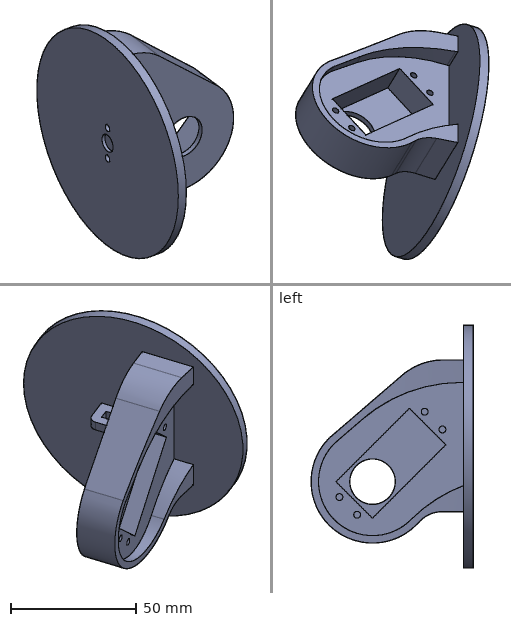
import cadquery as cq
import math

disc_diameter = 97.0
disc_thickness = 4.0
center_recess_diameter = 7.6
center_recess_depth = 1.5
mount_hole_diameter = 3.0
mount_hole_offset = 7.2

arm_back_x = -4.0
pivot_y = 40.3
pivot_z = -14.0
tip_y = 64.8
head_radius = tip_y - pivot_y
head_start_angle = 45.0
head_end_angle = 225.0
head_middle_angle = (head_start_angle + 360 + head_end_angle) / 2
arm_top_z = 34.6
arm_bottom_z = -26.0
top_corner_y = 21.3
top_fillet = 25.0
bottom_fillet = 12.0

face_base_x = -26.6
face_middle_x = -22.7
face_tip_x = -20.9

past_face_length = 2 * abs(face_base_x)

rim_width = 3.0
recess_floor_x = -18.0
recess_top_z = 25.6
recess_bend_radius = 60.1

servo_length = 41.4
servo_width = 20.6
servo_offset = 10.4
servo_angle = 135.0
servo_floor_x = -6.2
shaft_hole_diameter = 18.0
screw_pitch_long = 48.1
screw_pitch_wide = 10.0
screw_diameter = 2.7
screw_depth = 8.0

lug_center_x = 6.0
lug_width = 16.0
lug_top_y = 16.0
lug_thickness = 4.0
lug_corner_radius = 3.0
slot_width = 8.1
slot_height = 4.0
slot_bottom_y = 8.05

diagonal = math.sqrt(0.5)


def pivot_point(radius, angle_deg):
    """Point (Y, Z) at a radius and angle around the pivot."""
    angle = math.radians(angle_deg)
    return pivot_y + radius * math.cos(angle), pivot_z + radius * math.sin(angle)


def tangent_bend(corner, start, radius):
    """Ends and middle of an arc joining a line from start to corner with a line toward -Y."""
    slope = math.atan2(corner[1] - start[1], start[0] - corner[0])
    setback = radius * math.tan(abs(slope) / 2)
    side = math.copysign(1, slope)
    end = (corner[0] - setback, corner[1])
    center_z = corner[1] - side * radius

    def on_bend(angle):
        return end[0] + radius * math.sin(abs(angle)), center_z + side * radius * math.cos(angle)

    return on_bend(slope), on_bend(slope / 2), end


def make_disc():
    disc = cq.Workplane("XZ").circle(disc_diameter / 2).extrude(-disc_thickness)
    holes = (
        cq.Workplane("XZ")
        .pushPoints([(0, mount_hole_offset), (0, -mount_hole_offset)])
        .circle(mount_hole_diameter / 2)
        .extrude(-disc_thickness)
    )
    recess = cq.Workplane("XZ").circle(center_recess_diameter / 2).extrude(-center_recess_depth)
    return disc.cut(holes).cut(recess)


def make_arm_blank():
    head_top = pivot_point(head_radius, head_start_angle)
    head_bottom = pivot_point(head_radius, head_end_angle)
    top_corner = (top_corner_y, arm_top_z)
    bottom_corner = (head_bottom[0] - (arm_bottom_z - head_bottom[1]), arm_bottom_z)
    top_bend = tangent_bend(top_corner, head_top, top_fillet)
    bottom_bend = tangent_bend(bottom_corner, head_bottom, bottom_fillet)
    blank = (
        cq.Workplane("YZ", origin=(arm_back_x, 0, 0))
        .moveTo(0, arm_bottom_z)
        .lineTo(0, arm_top_z)
        .lineTo(*top_bend[2])
        .threePointArc(top_bend[1], top_bend[0])
        .lineTo(*head_top)
        .threePointArc(pivot_point(head_radius, head_middle_angle), head_bottom)
        .lineTo(*bottom_bend[0])
        .threePointArc(bottom_bend[1], bottom_bend[2])
        .close()
        .extrude(-past_face_length)
    )
    side_profile = (
        cq.Workplane("XY")
        .moveTo(arm_back_x, disc_thickness)
        .lineTo(face_base_x, disc_thickness)
        .threePointArc((face_middle_x, (disc_thickness + tip_y) / 2), (face_tip_x, tip_y))
        .lineTo(arm_back_x, tip_y)
        .close()
        .extrude(disc_diameter / 2, both=True)
    )
    return blank.intersect(side_profile)


def make_recess():
    inner_radius = head_radius - rim_width
    inner_top = pivot_point(inner_radius, head_start_angle)
    inner_bottom = pivot_point(inner_radius, head_end_angle)
    head_top = pivot_point(head_radius, head_start_angle)
    flank_slope = (arm_top_z - head_top[1]) / (head_top[0] - top_corner_y)
    top_corner = (inner_top[0] - (recess_top_z - inner_top[1]) / flank_slope, recess_top_z)
    bend_start, bend_middle, bend_end = tangent_bend(top_corner, inner_top, recess_bend_radius)

    center_y = inner_bottom[0] - recess_bend_radius * diagonal
    center_z = inner_bottom[1] - recess_bend_radius * diagonal

    def lower_wall(y):
        return y, center_z + math.sqrt(recess_bend_radius**2 - (y - center_y) ** 2)

    return (
        cq.Workplane("YZ", origin=(recess_floor_x, 0, 0))
        .moveTo(*lower_wall(0))
        .lineTo(0, recess_top_z)
        .lineTo(*bend_end)
        .threePointArc(bend_middle, bend_start)
        .lineTo(*inner_top)
        .threePointArc(pivot_point(inner_radius, head_middle_angle), inner_bottom)
        .threePointArc(lower_wall(inner_bottom[0] / 2), lower_wall(0))
        .close()
        .extrude(-past_face_length)
    )


def make_servo_cuts():
    center = pivot_point(servo_offset, servo_angle)
    floor = cq.Workplane("YZ", origin=(recess_floor_x, *center)).transformed(rotate=(0, 0, servo_angle))
    pocket = floor.rect(servo_length, servo_width).extrude(servo_floor_x - recess_floor_x)
    screws = (
        floor.rect(screw_pitch_long, screw_pitch_wide, forConstruction=True)
        .vertices()
        .circle(screw_diameter / 2)
        .extrude(screw_depth)
    )
    shaft_hole = (
        cq.Workplane("YZ", origin=(recess_floor_x, pivot_y, pivot_z))
        .circle(shaft_hole_diameter / 2)
        .extrude(arm_back_x - recess_floor_x)
    )
    return pocket.union(screws).union(shaft_hole)


def make_lug():
    lug_height = lug_top_y - disc_thickness
    lug = (
        cq.Workplane("XY")
        .center(lug_center_x, disc_thickness + lug_height / 2)
        .rect(lug_width, lug_height)
        .extrude(lug_thickness / 2, both=True)
        .edges("|Z and >Y")
        .fillet(lug_corner_radius)
    )
    slot = (
        cq.Workplane("XY")
        .center(lug_center_x, slot_bottom_y + slot_height / 2)
        .rect(slot_width, slot_height)
        .extrude(lug_thickness, both=True)
    )
    return lug.cut(slot)


arm = make_arm_blank().cut(make_recess()).cut(make_servo_cuts())
result = make_disc().union(arm).union(make_lug())